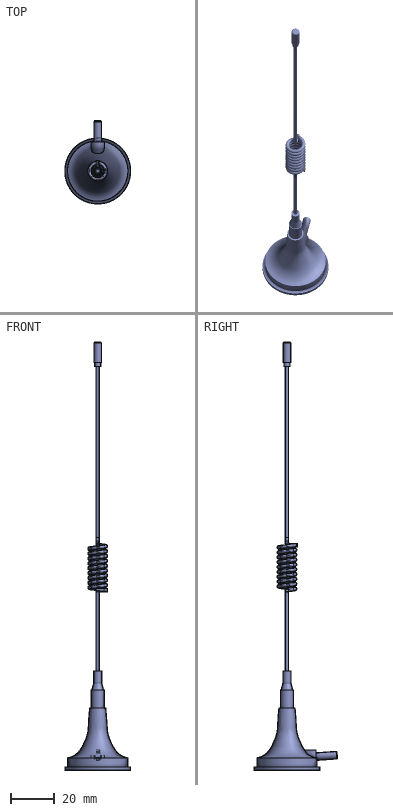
import cadquery as cq
import math

total_height = 195.0

foot_diameter = 30.0
foot_height = 1.5
housing_diameter = 27.5
housing_rim_top = 5.7
flare_inner_radius = 5.0
flare_mid_radius = 7.8
flare_mid_height = 9.5
flare_top = 15.2
rim_slope = 10.0
neck_radius = 3.7
neck_top = 28.3

cable_diameter = 3.5
cable_end = 23.0
cable_tilt = 4.0
cable_chamfer = 0.4
boot_diameter = 6.0
boot_end = 13.3
boot_height = 6.2

ferrule_diameter = 6.0
ferrule_shoulder = 36.5
ferrule_cone_top = 39.8
ferrule_shoulder_radius = 2.7
ferrule_tip_diameter = 3.7
ferrule_top = 45.2

rod_diameter = 1.6
wire_diameter = 1.6
spring_diameter = 9.0
spring_turns = 9.25
spring_bottom = 82.0
spring_top = 102.5
upper_arm_reach = 4.9
rod_seat_depth = 0.4
link_bend = 0.8
crimp_bottom = 104.5
crimp_top = 106.0

tip_diameter = 3.5
tip_bottom = 185.6
tip_chamfer = 0.4
tip_collar_diameter = 3.0
tip_collar_bottom = 183.9

wire_radius = wire_diameter / 2
coil_radius = (spring_diameter - wire_diameter) / 2


def upright_cylinder(diameter, bottom, top):
    """Cylinder on the Z axis between two heights."""
    return cq.Workplane("XY").workplane(offset=bottom).circle(diameter / 2).extrude(top - bottom)


def wire_segment(start, end):
    """Straight piece of spring wire between two points."""
    start_point = cq.Vector(*start)
    direction = cq.Vector(*end) - start_point
    return cq.Workplane(cq.Solid.makeCylinder(wire_radius, direction.Length, start_point, direction))


def wire_elbow(centre):
    """Ball that rounds a bend in the spring wire."""
    return cq.Workplane("XY").sphere(wire_radius).translate(centre)


def make_cable():
    """Round cable that rises slightly from the flat end of the boot."""
    tilt = math.radians(cable_tilt)
    direction = cq.Vector(0, math.cos(tilt), math.sin(tilt))
    face_radius = cable_diameter / 2 - cable_chamfer
    length = (cable_end - boot_end - face_radius * math.sin(tilt)) / math.cos(tilt)
    start = cq.Vector(0, boot_end, boot_height)
    cable = cq.Workplane(cq.Solid.makeCylinder(cable_diameter / 2, length, start, direction))
    return cable.faces(">Y").edges().chamfer(cable_chamfer)


def make_housing(cable):
    """Bell-shaped housing with a boot on +Y and a seat for the cable."""
    rim_direction = (-1, math.tan(math.radians(rim_slope)))
    neck_direction = (neck_radius - flare_inner_radius, neck_top - flare_top)
    bell = (
        cq.Workplane("XZ")
        .moveTo(0, foot_height)
        .lineTo(housing_diameter / 2, foot_height)
        .lineTo(housing_diameter / 2, housing_rim_top)
        .spline(
            [
                (flare_mid_radius, flare_mid_height),
                (flare_inner_radius, flare_top),
                (neck_radius, neck_top),
            ],
            tangents=[rim_direction, neck_direction],
            includeCurrent=True,
        )
        .lineTo(0, neck_top)
        .close()
        .revolve(360, (0, 0, 0), (0, 1, 0))
    )
    boot = cq.Workplane("XZ").center(0, boot_height).circle(boot_diameter / 2).extrude(-boot_end)
    return bell.union(boot).cut(cable)


def make_ferrule():
    """Stepped ferrule with a conical shoulder."""
    return (
        cq.Workplane("XZ")
        .moveTo(0, neck_top)
        .lineTo(ferrule_diameter / 2, neck_top)
        .lineTo(ferrule_diameter / 2, ferrule_shoulder)
        .lineTo(ferrule_shoulder_radius, ferrule_shoulder)
        .lineTo(ferrule_tip_diameter / 2, ferrule_cone_top)
        .lineTo(ferrule_tip_diameter / 2, ferrule_top)
        .lineTo(0, ferrule_top)
        .close()
        .revolve(360, (0, 0, 0), (0, 1, 0))
    )


def make_spring():
    """Right-handed coil with a radial arm at each end and a link up to the crimp."""
    rise = spring_top - spring_bottom
    helix = cq.Wire.makeHelix(rise / spring_turns, rise, coil_radius)
    coil = (
        cq.Workplane("XZ")
        .center(coil_radius, 0)
        .circle(wire_radius)
        .sweep(cq.Workplane(helix), isFrenet=True)
        .translate((0, 0, spring_bottom))
    )
    lower_arm = wire_segment((-wire_radius, 0, spring_bottom), (spring_diameter / 2, 0, spring_bottom))
    bend_start = (0, link_bend, spring_top)
    bend_end = (0, 0, spring_top + link_bend)
    upper_arm = wire_segment(bend_start, (0, upper_arm_reach, spring_top))
    link = wire_segment(bend_start, bend_end)
    stem = wire_segment(bend_end, (0, 0, crimp_bottom))
    spring = coil.union(lower_arm).union(upper_arm)
    for piece in (wire_elbow(bend_start), link, wire_elbow(bend_end), stem):
        spring = spring.union(piece)
    return spring


foot = upright_cylinder(foot_diameter, 0, foot_height)
cable = make_cable()
housing = make_housing(cable)
ferrule = make_ferrule()
spring = make_spring()

lower_rod_top = spring_bottom - wire_radius + rod_seat_depth
lower_rod = upright_cylinder(rod_diameter, ferrule_top, lower_rod_top).cut(spring)

crimp = upright_cylinder(rod_diameter, crimp_bottom, crimp_top)
upper_rod = upright_cylinder(rod_diameter, crimp_top, tip_collar_bottom)
tip_collar = upright_cylinder(tip_collar_diameter, tip_collar_bottom, tip_bottom)
tip = upright_cylinder(tip_diameter, tip_bottom, total_height).faces(">Z").edges().chamfer(tip_chamfer)

bodies = [foot, housing, cable, ferrule, lower_rod, spring, crimp, upper_rod, tip_collar, tip]
result = cq.Compound.makeCompound([body.val() for body in bodies])